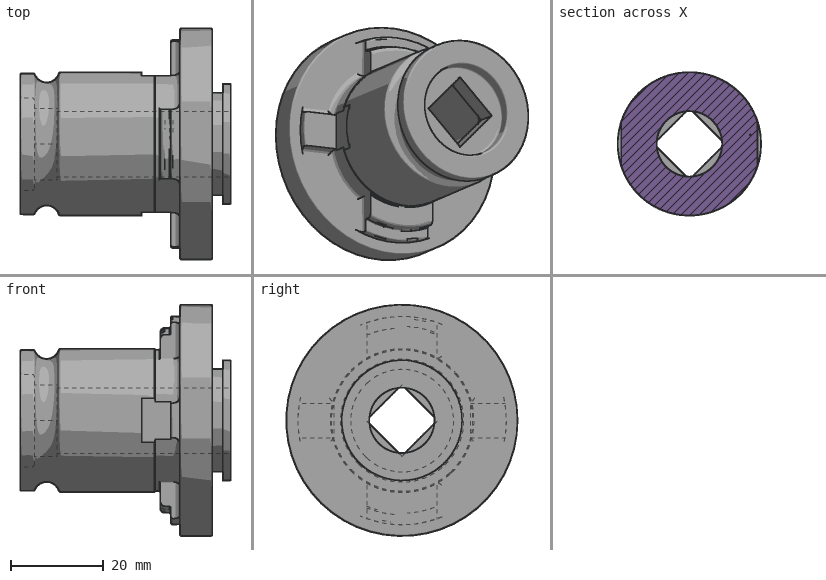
import cadquery as cq
import math

groove_center = 5.72
flat_start = 26.25
body_end = 29.0
inner_step_front = 30.25
lug_front = 32.5
flange_front = 34.5
flange_back = 41.5
disc_front = 43.8
overall_length = 45.5

collar_radius = 15.25
body_radius = 15.5
groove_bottom_radius = 13.3
groove_arc_radius = 2.75
neck_radius = 15.3
flange_radius = 25.0
spigot_radius = 11.1
disc_radius = 13.0

collar_round = 0.4
groove_lip_round = 0.5
flange_round = 0.4
disc_round = 0.3
foot_round = 1.4

lug_radius = 22.5
lug_round = 0.5
inner_step_radius = 20.0
inner_step_round = 1.0
inner_step_foot_round = 0.35
stepped_lug_width = 15.1
plain_lug_width = 7.5
neck_joint_round = 0.25
flat_offset = 14.75

recess_radius = 10.0
recess_depth = 3.0
recess_round = 0.5
square_side = 10.9
square_depth = 4.9
bore_radius = 7.05

joint_height = neck_radius + 2 * neck_joint_round
lug_back = (flange_front + flange_back) / 2
tolerance = 0.01


def revolve_about_x(profile):
    return profile.close().revolve(360, (0, 0, 0), (1, 0, 0))


def round_edge_circle(solid, x, radius, size):
    """Round the circular edge of the given radius lying at position x on the axis."""
    selector = cq.selectors.BoxSelector(
        (x - tolerance, -radius - tolerance, -radius - tolerance),
        (x + tolerance, radius + tolerance, radius + tolerance),
        boundingbox=True,
    )
    edges = solid.edges(selector).filter(lambda edge: abs(edge.radius() - radius) < tolerance)
    return edges.fillet(size)


def make_turned_body():
    """Collar, groove, body, neck, flange and spigot as one solid of revolution."""
    arc_center_radius = groove_bottom_radius + groove_arc_radius

    def groove_half_width(radius):
        return math.sqrt(groove_arc_radius**2 - (arc_center_radius - radius) ** 2)

    groove_start = groove_center - groove_half_width(collar_radius)
    groove_end = groove_center + groove_half_width(body_radius)
    neck_start = body_end + body_radius - neck_radius
    body = revolve_about_x(
        cq.Workplane("XY")
        .lineTo(0, collar_radius)
        .lineTo(groove_start, collar_radius)
        .threePointArc((groove_center, groove_bottom_radius), (groove_end, body_radius))
        .lineTo(body_end, body_radius)
        .lineTo(neck_start, neck_radius)
        .lineTo(flange_front, neck_radius)
        .lineTo(flange_front, flange_radius)
        .lineTo(flange_back, flange_radius)
        .lineTo(flange_back, spigot_radius)
        .lineTo(disc_front, spigot_radius)
        .lineTo(disc_front, disc_radius)
        .lineTo(overall_length, disc_radius)
        .lineTo(overall_length, 0)
    )
    for x, radius, size in (
        (0, collar_radius, collar_round),
        (groove_start, collar_radius, groove_lip_round),
        (groove_end, body_radius, groove_lip_round),
        (flange_front, neck_radius, foot_round),
        (flange_front, flange_radius, flange_round),
        (flange_back, flange_radius, flange_round),
        (overall_length, disc_radius, disc_round),
    ):
        body = round_edge_circle(body, x, radius, size)
    return body


def cut_side_flats(body):
    """Flats on the +Y and -Y sides, running up to the front of the plain lugs."""
    length = lug_front - flat_start
    depth = body_radius - flat_offset
    for side in (-1, 1):
        center = (flat_start + length / 2, side * (flat_offset + depth / 2), 0)
        cutter = cq.Workplane("XY").box(length, depth, 2 * body_radius).translate(center)
        body = body.cut(cutter)
    return body


def make_lug_bar(front, width):
    """Bar across the flange along Z whose sides flare into the flange face."""
    half = width / 2
    flare_start = flange_front - foot_round
    flare_half = half + foot_round
    return (
        cq.Workplane("XY")
        .moveTo(front, -half)
        .lineTo(front, half)
        .lineTo(flare_start, half)
        .radiusArc((flange_front, flare_half), -foot_round)
        .lineTo(lug_back, flare_half)
        .lineTo(lug_back, -flare_half)
        .lineTo(flange_front, -flare_half)
        .radiusArc((flare_start, -half), -foot_round)
        .close()
        .extrude(lug_radius, both=True)
    )


def make_lug_disc():
    """Round outer limit shared by all four lugs."""
    disc = cq.Workplane("YZ").workplane(offset=lug_front).circle(lug_radius).extrude(lug_back - lug_front)
    return round_edge_circle(disc, lug_front, lug_radius, lug_round)


def make_stepped_lug_disc():
    """Outer limit of the stepped lugs, with the smaller inner step in front."""
    step = (
        cq.Workplane("YZ")
        .workplane(offset=inner_step_front)
        .circle(inner_step_radius)
        .extrude(lug_back - inner_step_front)
    )
    disc = make_lug_disc().union(step)
    disc = round_edge_circle(disc, lug_front, inner_step_radius, inner_step_foot_round)
    return round_edge_circle(disc, inner_step_front, inner_step_radius, inner_step_round)


def make_rounded_neck_joint():
    """Neck section crossed by the straight stepped lugs, with a hollow round along their joint."""
    neck = cq.Workplane("YZ").workplane(offset=body_end).circle(neck_radius).extrude(flange_front - body_end)
    crossbar = (
        cq.Workplane("YZ")
        .workplane(offset=inner_step_front)
        .rect(stepped_lug_width, 2 * joint_height)
        .extrude(flange_front - inner_step_front)
    )
    half = stepped_lug_width / 2
    corner_height = math.sqrt(neck_radius**2 - half**2)

    def lies_on_joint(edge):
        center = edge.Center()
        inside_neck_length = inner_step_front - tolerance < center.x < flange_front - tolerance
        corners_on_neck = all(
            abs(abs(vertex.Y) - half) < tolerance and abs(abs(vertex.Z) - corner_height) < tolerance
            for vertex in edge.Vertices()
        )
        return inside_neck_length and corners_on_neck and abs(center.z) > corner_height - tolerance

    return neck.union(crossbar).edges().filter(lies_on_joint).fillet(neck_joint_round)


def add_lugs(body):
    stepped = make_lug_bar(inner_step_front, stepped_lug_width).intersect(make_stepped_lug_disc())
    plain = make_lug_bar(lug_front, plain_lug_width).rotate((0, 0, 0), (1, 0, 0), 90)
    return body.union(stepped).union(plain.intersect(make_lug_disc()))


def cut_inside(body):
    """Cut the round recess, the square socket behind it and the bore through the rest."""
    recess = cq.Workplane("YZ").circle(recess_radius).extrude(recess_depth)
    recess = recess.faces(">X").edges().fillet(recess_round)
    socket_end = recess_depth + square_depth
    socket = (
        cq.Workplane("YZ")
        .rect(square_side, square_side)
        .extrude(socket_end)
        .rotate((0, 0, 0), (1, 0, 0), 45)
    )
    bore = cq.Workplane("YZ").workplane(offset=socket_end).circle(bore_radius).extrude(overall_length)
    body = body.cut(recess)
    body = round_edge_circle(body, 0, recess_radius, recess_round)
    return body.cut(socket).cut(bore)


result = make_turned_body().union(make_rounded_neck_joint())
result = cut_side_flats(result)
result = add_lugs(result)
result = cut_inside(result)